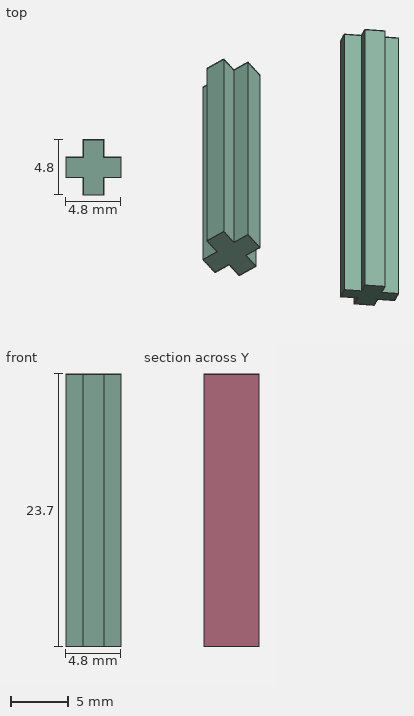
import cadquery as cq

length = 23.7
span = 4.8
arm_width = 1.8


def arm_pair(size_x, size_y):
    """Full-length bar, centred on the Z axis, forming two opposite arms."""
    return cq.Workplane("XY").box(size_x, size_y, length)


result = arm_pair(span, arm_width).union(arm_pair(arm_width, span))